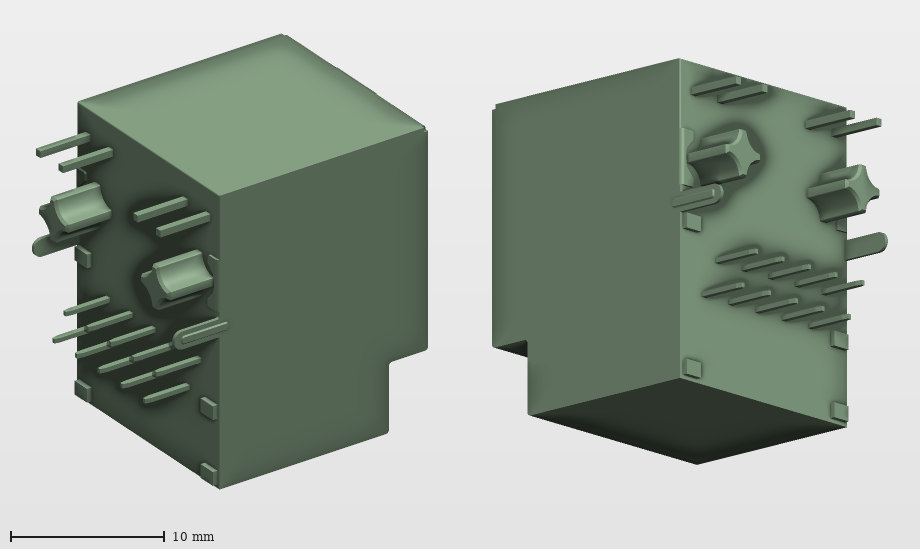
import cadquery as cq
import math


WIDTH = 16.0
DEPTH = 16.6
HEIGHT = 21.6
STEP_DEPTH = 3.13
STEP_HEIGHT = 5.18
REAR_RADIUS = 0.25
FRONT_EDGE_RADIUS = 0.1
CORNER_RELIEF = 0.32
LEDGE_WIDTH = 4.43
LEDGE_DEPTH = 0.2
LEDGE_DROP = 0.09
HALF_WIDTH = WIDTH / 2

PIN_SPACING = 2.55

LED_PIN_SIZE = 0.5
LED_PIN_LENGTH = 4.0
LED_PIN_Z = 19.57
LED_INNER_X = 4.2
LED_OUTER_X = LED_INNER_X + PIN_SPACING

SIGNAL_PIN_WIDTH = 0.4
SIGNAL_PIN_HEIGHT = 0.32
SIGNAL_PIN_LENGTH = 3.5
SIGNAL_TIP_LENGTH = 0.48
SIGNAL_TIP_WIDTH = 0.24
PINS_PER_ROW = 5
LOWER_ROW_Z = 6.07
UPPER_ROW_Z = LOWER_ROW_Z + PIN_SPACING

POST_X = 5.72
POST_Z = 14.97
POST_RADIUS = 1.62
POST_LENGTH = 3.6
SCALLOP_RADIUS = 1.3
POST_EDGE_RADIUS = 0.06
POST_CHAMFER_LENGTH = 0.2
POST_CHAMFER_INSET = 0.15

TAB_HEIGHT = 3.8
TAB_WIDTH = 1.1
TAB_THICKNESS = 0.17
TAB_BEND_RADIUS = 0.3
TAB_CLEARANCE_RADIUS = 1.88
TAB_ARC_HALF_HEIGHT = 0.7
TAB_NOTCH_HALF_HEIGHT = 1.3
TAB_CORNER_RADIUS = 0.15

CLIP_Z = 11.88
CLIP_HEIGHT = 1.32
CLIP_LENGTH = 3.6
CLIP_THICKNESS = 0.25
CLIP_ROOT_RADIUS = 0.17
RIB_LENGTH = 3.74
RIB_HEIGHT = 0.63
RIB_RISE = 0.097
RIB_TIP_GAP = 0.55
RIB_CORNER_RADIUS = 0.22
RIB_CHAMFER = 0.09

PAD_WIDTH = 1.38
PAD_HEIGHT = 1.02
PAD_THICKNESS = 0.37
PAD_X = 7.06
PAD_LOW_Z = 0.78
PAD_RIGHT_Z = 5.62
PAD_LEFT_Z = 10.65

OVERLAP = 0.22


def block(x_range, y_range, z_range):
    """Box between the given limits."""
    (x0, x1), (y0, y1), (z0, z1) = x_range, y_range, z_range
    return cq.Workplane("XY").box(x1 - x0, y1 - y0, z1 - z0, centered=False).translate((x0, y0, z0))


def centred_block(x, z, width, height, length):
    """Rectangular bar centred on (x, z), reaching `length` out of the front face."""
    return block(
        (x - width / 2, x + width / 2),
        (-length, OVERLAP),
        (z - height / 2, z + height / 2),
    )


def both_sides(shape):
    """A shape together with its mirror image about X = 0."""
    return shape.union(shape.mirror("YZ"))


def make_housing():
    step_y = DEPTH - STEP_DEPTH
    housing = (
        cq.Workplane("YZ")
        .moveTo(0, 0)
        .lineTo(step_y, 0)
        .lineTo(step_y, STEP_HEIGHT)
        .lineTo(DEPTH, STEP_HEIGHT)
        .lineTo(DEPTH, HEIGHT)
        .lineTo(0, HEIGHT)
        .close()
        .extrude(HALF_WIDTH, both=True)
    )
    rear_edges = cq.selectors.BoxSelector(
        (-WIDTH, step_y - OVERLAP, -OVERLAP), (WIDTH, DEPTH + OVERLAP, HEIGHT + OVERLAP)
    )
    housing = housing.edges("|X").edges(rear_edges).fillet(REAR_RADIUS)

    tab_top = POST_Z + TAB_HEIGHT / 2
    upper = block((-WIDTH, WIDTH), (-OVERLAP, DEPTH + OVERLAP), (tab_top, HEIGHT + OVERLAP))
    crown = housing.intersect(upper)
    crown = crown.faces("<Y").edges("|Z or >Z").fillet(FRONT_EDGE_RADIUS)
    housing = housing.cut(upper).union(crown)

    relief = block(
        (HALF_WIDTH - CORNER_RELIEF, HALF_WIDTH),
        (DEPTH - CORNER_RELIEF, DEPTH),
        (HEIGHT - CORNER_RELIEF, HEIGHT),
    )

    ledge_x = (-LEDGE_WIDTH / 2, LEDGE_WIDTH / 2)
    ledge_y = (DEPTH - LEDGE_DEPTH, DEPTH)
    ledge_top = HEIGHT - LEDGE_DROP
    ledge = block(ledge_x, ledge_y, (HEIGHT - REAR_RADIUS, ledge_top))
    above_ledge = block(ledge_x, ledge_y, (ledge_top, HEIGHT))
    return housing.cut(both_sides(relief)).union(ledge).cut(above_ledge)


def make_signal_pin(x, z):
    half_width = SIGNAL_PIN_WIDTH / 2
    half_tip = SIGNAL_TIP_WIDTH / 2
    shoulder_y = SIGNAL_TIP_LENGTH - SIGNAL_PIN_LENGTH
    return (
        cq.Workplane("XY")
        .moveTo(-half_width, OVERLAP)
        .lineTo(-half_width, shoulder_y)
        .lineTo(-half_tip, -SIGNAL_PIN_LENGTH)
        .lineTo(half_tip, -SIGNAL_PIN_LENGTH)
        .lineTo(half_width, shoulder_y)
        .lineTo(half_width, OVERLAP)
        .close()
        .extrude(SIGNAL_PIN_HEIGHT / 2, both=True)
        .translate((x, 0, z))
    )


def make_post():
    scallop_centres = [(x, z) for x in (-POST_RADIUS, POST_RADIUS) for z in (-POST_RADIUS, POST_RADIUS)]
    root = cq.Workplane("XZ", origin=(0, OVERLAP, 0))
    scallops = root.pushPoints(scallop_centres).circle(SCALLOP_RADIUS).extrude(POST_LENGTH + OVERLAP)
    post = (
        root.circle(POST_RADIUS)
        .extrude(POST_LENGTH + OVERLAP)
        .cut(scallops)
        .edges("|Y")
        .fillet(POST_EDGE_RADIUS)
    )

    blank = root.circle(POST_RADIUS).extrude(POST_LENGTH + OVERLAP)
    blank = blank.faces("<Y").chamfer(POST_CHAMFER_LENGTH, POST_CHAMFER_INSET)
    post = post.intersect(blank)
    for x, z in scallop_centres:
        flare = cq.Solid.makeCone(
            SCALLOP_RADIUS,
            SCALLOP_RADIUS + POST_CHAMFER_INSET,
            POST_CHAMFER_LENGTH,
            pnt=cq.Vector(x, POST_CHAMFER_LENGTH - POST_LENGTH, z),
            dir=cq.Vector(0, -1, 0),
        )
        post = post.cut(cq.Workplane(flare))
    return post.translate((POST_X, 0, POST_Z))


def make_tab_outline():
    """Right-hand tab face, notched around the post, as a prism along Y."""
    half_height = TAB_HEIGHT / 2
    inner_x = HALF_WIDTH - TAB_WIDTH
    arc_x = POST_X + math.sqrt(TAB_CLEARANCE_RADIUS**2 - TAB_ARC_HALF_HEIGHT**2)
    outline = (
        cq.Workplane("XZ", origin=(0, TAB_BEND_RADIUS, POST_Z))
        .moveTo(HALF_WIDTH, half_height)
        .lineTo(inner_x, half_height)
        .lineTo(inner_x, TAB_NOTCH_HALF_HEIGHT)
        .lineTo(arc_x, TAB_ARC_HALF_HEIGHT)
        .threePointArc(
            (POST_X + TAB_CLEARANCE_RADIUS, 0),
            (arc_x, -TAB_ARC_HALF_HEIGHT),
        )
        .lineTo(inner_x, -TAB_NOTCH_HALF_HEIGHT)
        .lineTo(inner_x, -half_height)
        .lineTo(HALF_WIDTH, -half_height)
        .close()
        .extrude(TAB_BEND_RADIUS + TAB_THICKNESS)
    )
    return outline.edges("|Y").edges("<X").edges(">Z").fillet(TAB_CORNER_RADIUS)


def make_tab_space():
    """Housing corner that the bend of the right-hand tab replaces."""
    return block(
        (HALF_WIDTH - TAB_BEND_RADIUS, HALF_WIDTH),
        (0, TAB_BEND_RADIUS),
        (POST_Z - TAB_HEIGHT / 2, POST_Z + TAB_HEIGHT / 2),
    )


def make_tab():
    folded_sheet = block(
        (HALF_WIDTH - TAB_WIDTH, HALF_WIDTH),
        (-TAB_THICKNESS, TAB_BEND_RADIUS),
        (POST_Z - TAB_HEIGHT / 2, POST_Z + TAB_HEIGHT / 2),
    )
    folded_sheet = folded_sheet.edges("|Z and >X and <Y").fillet(TAB_BEND_RADIUS)
    return folded_sheet.intersect(make_tab_outline())


def make_clip():
    half_height = CLIP_HEIGHT / 2
    tip_centre_y = half_height - CLIP_LENGTH
    root_diagonal = CLIP_ROOT_RADIUS * (1 - math.sqrt(0.5))
    plate = (
        cq.Workplane("YZ", origin=(HALF_WIDTH - CLIP_THICKNESS, 0, CLIP_Z))
        .moveTo(OVERLAP, -half_height)
        .lineTo(tip_centre_y, -half_height)
        .threePointArc((-CLIP_LENGTH, 0), (tip_centre_y, half_height))
        .lineTo(-CLIP_ROOT_RADIUS, half_height)
        .threePointArc(
            (-root_diagonal, half_height + root_diagonal),
            (0, half_height + CLIP_ROOT_RADIUS),
        )
        .lineTo(OVERLAP, half_height + CLIP_ROOT_RADIUS)
        .close()
        .extrude(CLIP_THICKNESS)
    )
    rib_y = RIB_LENGTH / 2 + RIB_TIP_GAP - CLIP_LENGTH
    rib = (
        cq.Workplane("YZ", origin=(HALF_WIDTH - CLIP_THICKNESS, rib_y, CLIP_Z))
        .rect(RIB_LENGTH, RIB_HEIGHT)
        .extrude(CLIP_THICKNESS + RIB_RISE)
        .edges("|X")
        .fillet(RIB_CORNER_RADIUS)
        .faces(">X")
        .chamfer(RIB_CHAMFER)
    )
    return plate.union(rib)


result = make_housing()
result = result.cut(both_sides(make_tab_space()))

for side_feature in (make_tab(), make_clip(), make_post()):
    result = result.union(both_sides(side_feature))

for led_x in (-LED_OUTER_X, -LED_INNER_X, LED_INNER_X, LED_OUTER_X):
    result = result.union(centred_block(led_x, LED_PIN_Z, LED_PIN_SIZE, LED_PIN_SIZE, LED_PIN_LENGTH))

row_shift = PIN_SPACING / 4
for row_x, row_z in ((row_shift, UPPER_ROW_Z), (-row_shift, LOWER_ROW_Z)):
    for index in range(PINS_PER_ROW):
        pin_x = row_x + (index - (PINS_PER_ROW - 1) / 2) * PIN_SPACING
        result = result.union(make_signal_pin(pin_x, row_z))

for pad_x, pad_z in ((-PAD_X, PAD_LOW_Z), (PAD_X, PAD_LOW_Z), (PAD_X, PAD_RIGHT_Z), (-PAD_X, PAD_LEFT_Z)):
    result = result.union(centred_block(pad_x, pad_z, PAD_WIDTH, PAD_HEIGHT, PAD_THICKNESS))